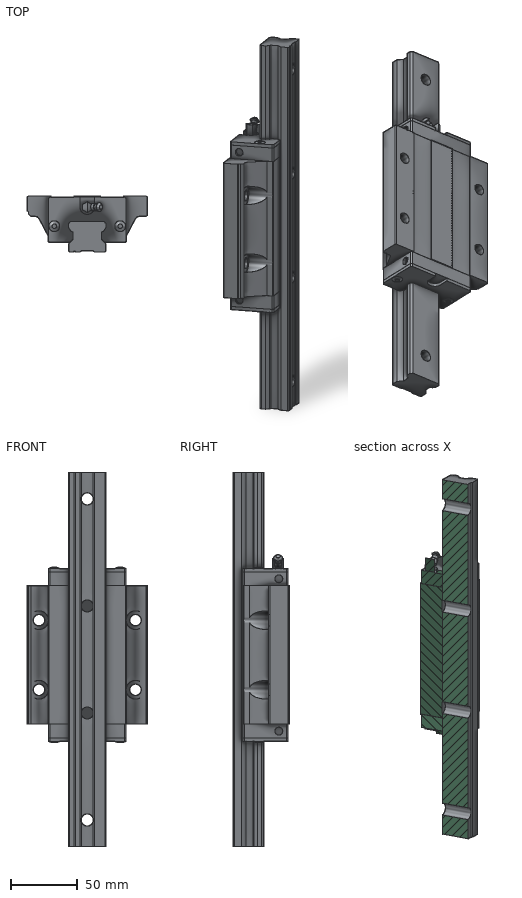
import cadquery as cq
import math


rail_length = 280.0
rail_half_width = 14.0
rail_height = 23.0
rail_base_chamfer = 0.8
rail_head_chamfer = 1.7
rail_waist_half_width = 10.5
flank_top_y = 6.2
waist_low_y = 9.5
waist_high_y = 14.8
raceway_x = 12.3
raceway_y = 15.7
head_low_y = 18.2
relief_half_width = 5.3
relief_floor_half_width = 4.5
relief_depth = 0.8
mark_groove_x = -9.5
mark_groove_width = 1.0
mark_groove_depth = 0.5
rail_hole_diameter = 9.0
rail_hole_count = 4
rail_hole_pitch = 80.0

carriage_z = 3.5
carriage_bottom_y = 7.3
carriage_top_y = 42.0

block_length = 103.5
block_half_width = 29.5
flange_width = 90.0
flange_half_width = flange_width / 2
flange_bottom_y = 26.5
flange_root_x = 37.0
web_low_y = 12.3
web_fillet = 3.5
datum_step_depth = 0.8
datum_step_y = 30.8
datum_chamfer = 2.0
plain_chamfer = 0.8
block_bottom_chamfer = 0.8
land_groove_inner_x = 10.0
land_groove_outer_x = 27.2
land_groove_depth = 0.8
mount_hole_diameter = 8.5
mount_face_diameter = 14.0
mount_hole_x = 36.0
mount_hole_pitch = 52.0

cap_length = 10.5
seal_thickness = 2.5
cap_half_width = 29.0
cap_top_y = 41.2
cap_edge_chamfer = 1.0
side_port_diameter = 6.0
side_port_depth = 2.8
side_port_y = 34.2
screw_x = 24.5
screw_y = 19.3
screw_head_diameter = 8.0
screw_head_height = 0.98
screw_dome_radius = 8.0
screw_socket_diameter = 3.5
screw_socket_depth = 0.5

nipple_y = 33.5
nipple_slot_width = 11.0
hex_corner_diameter = 8.0
hex_height = 10.0
hex_bevel_x = 0.3
spout_angle = 45.0
spout_tip_x = 10.5
spout_tip_height = 11.8
spout_profile = [(0.0, 3.5), (2.0, 6.7), (2.8, 4.5), (5.3, 4.5), (5.3, 5.5), (9.2, 5.5)]


def extrude_along_z(outline, z_low, z_high):
    return outline.extrude(z_high - z_low).translate((0, 0, z_low))


def cylinder_along_y(diameter, x, z, y_low, y_high):
    length = y_high - y_low
    start = cq.Vector(x, y_low, z)
    return cq.Workplane(cq.Solid.makeCylinder(diameter / 2, length, start, cq.Vector(0, 1, 0)))


def box_between(x_low, x_high, y_low, y_high, z_low, z_high):
    box = cq.Workplane().box(x_high - x_low, y_high - y_low, z_high - z_low, centered=False)
    return box.translate((x_low, y_low, z_low))


def rail_bar():
    right_side = [
        (relief_floor_half_width, relief_depth),
        (relief_half_width, 0),
        (rail_half_width - rail_base_chamfer, 0),
        (rail_half_width, rail_base_chamfer),
        (rail_half_width, flank_top_y),
        (rail_waist_half_width, waist_low_y),
        (rail_waist_half_width, waist_high_y),
        (raceway_x, raceway_y),
        (rail_half_width, head_low_y),
        (rail_half_width, rail_height - rail_head_chamfer),
        (rail_half_width - rail_head_chamfer, rail_height),
    ]
    left_side = [(-x, y) for x, y in reversed(right_side)]
    outline = cq.Workplane().polyline(right_side + left_side).close()
    return extrude_along_z(outline, -rail_length / 2, rail_length / 2)


def make_rail():
    rail = rail_bar()
    rail = rail.cut(
        box_between(
            mark_groove_x - mark_groove_width / 2,
            mark_groove_x + mark_groove_width / 2,
            0,
            mark_groove_depth,
            -rail_length / 2,
            rail_length / 2,
        )
    )
    for index in range(rail_hole_count):
        z = (index - (rail_hole_count - 1) / 2) * rail_hole_pitch
        rail = rail.cut(cylinder_along_y(rail_hole_diameter, 0, z, 0, rail_height))
    return rail


def block_profile():
    web_angle = math.atan2(flange_bottom_y - web_low_y, flange_root_x - block_half_width)
    fillet_reach = web_fillet * math.tan(web_angle / 2)
    fillet_web_x = flange_root_x - fillet_reach * math.cos(web_angle)
    fillet_web_y = flange_bottom_y - fillet_reach * math.sin(web_angle)
    fillet_flange_x = flange_root_x + fillet_reach
    datum_x = flange_half_width - datum_step_depth
    return (
        cq.Workplane()
        .moveTo(block_half_width - block_bottom_chamfer, carriage_bottom_y)
        .lineTo(block_half_width, carriage_bottom_y + block_bottom_chamfer)
        .lineTo(block_half_width, web_low_y)
        .lineTo(fillet_web_x, fillet_web_y)
        .radiusArc((fillet_flange_x, flange_bottom_y), web_fillet)
        .lineTo(flange_half_width - plain_chamfer, flange_bottom_y)
        .lineTo(flange_half_width, flange_bottom_y + plain_chamfer)
        .lineTo(flange_half_width, carriage_top_y - plain_chamfer)
        .lineTo(flange_half_width - plain_chamfer, carriage_top_y)
        .lineTo(land_groove_outer_x, carriage_top_y)
        .lineTo(land_groove_outer_x, carriage_top_y - land_groove_depth)
        .lineTo(land_groove_inner_x, carriage_top_y - land_groove_depth)
        .lineTo(land_groove_inner_x, carriage_top_y)
        .lineTo(-land_groove_inner_x, carriage_top_y)
        .lineTo(-land_groove_inner_x, carriage_top_y - land_groove_depth)
        .lineTo(-land_groove_outer_x, carriage_top_y - land_groove_depth)
        .lineTo(-land_groove_outer_x, carriage_top_y)
        .lineTo(plain_chamfer - flange_half_width, carriage_top_y)
        .lineTo(-flange_half_width, carriage_top_y - plain_chamfer)
        .lineTo(-flange_half_width, datum_step_y)
        .lineTo(-datum_x, datum_step_y - datum_step_depth)
        .lineTo(-datum_x, flange_bottom_y + datum_chamfer)
        .lineTo(-datum_x + datum_chamfer, flange_bottom_y)
        .lineTo(-fillet_flange_x, flange_bottom_y)
        .radiusArc((-fillet_web_x, fillet_web_y), web_fillet)
        .lineTo(-block_half_width, web_low_y)
        .lineTo(-block_half_width, carriage_bottom_y + block_bottom_chamfer)
        .lineTo(block_bottom_chamfer - block_half_width, carriage_bottom_y)
        .close()
    )


def make_block():
    z_low = carriage_z - block_length / 2
    block = extrude_along_z(block_profile(), z_low, z_low + block_length)
    for side in (-1, 1):
        for end in (-1, 1):
            x = side * mount_hole_x
            z = carriage_z + end * mount_hole_pitch / 2
            block = block.cut(cylinder_along_y(mount_face_diameter, x, z, 0, flange_bottom_y))
            block = block.cut(cylinder_along_y(mount_hole_diameter, x, z, 0, carriage_top_y))
    return block.cut(rail_bar())


def end_plate(thickness):
    """Plate with chamfered edges, from Z = 0 up, cut out for the rail."""
    plate = box_between(-cap_half_width, cap_half_width, carriage_bottom_y, cap_top_y, 0, thickness)
    return plate.edges("|Z").chamfer(cap_edge_chamfer).cut(rail_bar())


def place_at_end(body, end, distance):
    """Puts a body made along +Z at one end of the carriage, mirrored for the lower end."""
    placed = body.translate((0, 0, distance))
    if end < 0:
        placed = placed.mirror("XY")
    return placed.translate((0, 0, carriage_z))


def make_cap(end):
    cap = end_plate(cap_length)
    for side in (-1, 1):
        mouth = cq.Vector(side * cap_half_width, side_port_y, cap_length / 2)
        port = cq.Solid.makeCylinder(side_port_diameter / 2, side_port_depth, mouth, cq.Vector(-side, 0, 0))
        cap = cap.cut(cq.Workplane(port))
    return place_at_end(cap, end, block_length / 2)


def screw_head(x):
    rim_radius = screw_head_diameter / 2
    socket_radius = screw_socket_diameter / 2
    socket_floor = screw_head_height - screw_socket_depth
    head = (
        cq.Workplane("XZ")
        .lineTo(rim_radius, 0)
        .radiusArc((socket_radius, screw_head_height), -screw_dome_radius)
        .lineTo(socket_radius, socket_floor)
        .lineTo(0, socket_floor)
        .close()
        .revolve()
    )
    return head.translate((x, screw_y, seal_thickness))


def make_seal(end):
    seal = end_plate(seal_thickness)
    slot_radius = nipple_slot_width / 2
    slot = cq.Workplane().center(0, nipple_y).circle(slot_radius).extrude(seal_thickness)
    slot = slot.union(box_between(-slot_radius, slot_radius, nipple_y, cap_top_y, 0, seal_thickness))
    seal = seal.cut(slot)
    for side in (-1, 1):
        seal = seal.union(screw_head(side * screw_x))
    return place_at_end(seal, end, block_length / 2 + cap_length)


def make_nipple():
    post = cq.Workplane().polygon(6, hex_corner_diameter).extrude(hex_height)
    post = post.rotate((0, 0, 0), (0, 0, 1), 90)
    bevel_size = hex_corner_diameter
    bevel = (
        cq.Workplane("XZ")
        .moveTo(hex_bevel_x, hex_height)
        .lineTo(hex_bevel_x + bevel_size, hex_height)
        .lineTo(hex_bevel_x + bevel_size, hex_height - bevel_size)
        .close()
        .extrude(bevel_size, both=True)
    )
    post = post.cut(bevel)

    back_distance = spout_profile[-1][0]
    outline = [(diameter / 2, -distance) for distance, diameter in spout_profile]
    spout = cq.Workplane("XZ").polyline([(0, 0)] + outline + [(0, -back_distance)]).close().revolve()
    spout = spout.rotate((0, 0, 0), (0, 1, 0), spout_angle)
    spout = spout.translate((spout_tip_x, 0, spout_tip_height))

    nipple = post.union(spout)
    return place_at_end(nipple.translate((0, nipple_y, 0)), 1, block_length / 2 + cap_length)


rail = make_rail()
block = make_block()
caps = [make_cap(end) for end in (-1, 1)]
seals = [make_seal(end) for end in (-1, 1)]
nipple = make_nipple()

result = cq.Compound.makeCompound(
    [rail.val(), block.val(), nipple.val()] + [cap.val() for cap in caps] + [seal.val() for seal in seals]
)